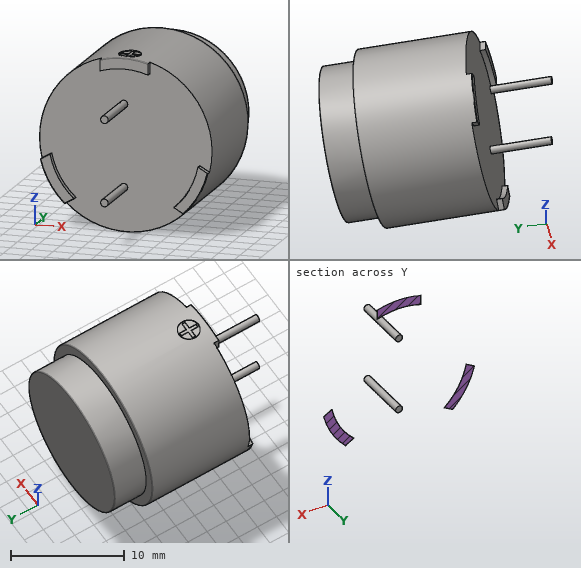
import cadquery as cq
HOUSING_DIAMETER = 16.0
SHOULDER_Y = 10.7
CAP_DIAMETER = 14.0
CAP_LENGTH = 3.3
EDGE_ROUND = 0.05

FOOT_COUNT = 3
FOOT_HEIGHT = 0.5
FOOT_WIDTH = 4.48
FOOT_INNER_DIAMETER = CAP_DIAMETER

PIN_DIAMETER = 0.7
PIN_LENGTH = 5.5
PIN_SPACING = 7.6

MARK_Y = 1.72
MARK_DIAMETER = 2.0
MARK_DEPTH = 0.1
PLUS_SPAN = 1.74
PLUS_BAR_WIDTH = 0.31
PLUS_THICKNESS = 0.1

HOUSING_RADIUS = HOUSING_DIAMETER / 2
MARK_FLOOR_Z = HOUSING_RADIUS - MARK_DEPTH


def cylinder_along_y(diameter, y_start, length):
    """Cylinder around the Y axis from y_start toward +Y."""
    return (
        cq.Workplane("XZ", origin=(0, y_start, 0))
        .transformed(rotate=(0, 0, 90))
        .circle(diameter / 2)
        .extrude(-length)
    )


def make_feet():
    """Straight-sided feet with round inner faces, spread evenly from the +Z side."""
    bore = cylinder_along_y(FOOT_INNER_DIAMETER, 0, FOOT_HEIGHT)
    foot = (
        cq.Workplane("XY")
        .box(FOOT_WIDTH, FOOT_HEIGHT, HOUSING_RADIUS, centered=(True, False, False))
        .cut(bore)
    )
    feet = foot
    for index in range(1, FOOT_COUNT):
        feet = feet.union(foot.rotate((0, 0, 0), (0, 1, 0), index * 360 / FOOT_COUNT))
    return feet


def make_plus():
    """Flat plus whose top is flush with the floor of the round recess."""
    base = cq.Workplane("XY", origin=(0, MARK_Y, MARK_FLOOR_Z - PLUS_THICKNESS))
    bar_along_x = base.rect(PLUS_SPAN, PLUS_BAR_WIDTH).extrude(PLUS_THICKNESS)
    bar_along_y = base.rect(PLUS_BAR_WIDTH, PLUS_SPAN).extrude(PLUS_THICKNESS)
    return bar_along_x.union(bar_along_y)


def make_housing(plus):
    """Stepped housing with feet, rounded end edges and a seat for the plus."""
    barrel = cylinder_along_y(HOUSING_DIAMETER, 0, SHOULDER_Y).edges().fillet(EDGE_ROUND)
    cap = cylinder_along_y(CAP_DIAMETER, SHOULDER_Y, CAP_LENGTH).faces(">Y").edges().fillet(EDGE_ROUND)
    front_recess = cylinder_along_y(HOUSING_DIAMETER, 0, FOOT_HEIGHT).cut(make_feet())
    mark_recess = (
        cq.Workplane("XY", origin=(0, MARK_Y, MARK_FLOOR_Z))
        .circle(MARK_DIAMETER / 2)
        .extrude(MARK_DEPTH)
    )
    return barrel.cut(front_recess).union(cap).cut(mark_recess).cut(plus)


def make_pin(z_center):
    """Straight pin that starts level with the ends of the feet and points toward -Y."""
    return cylinder_along_y(PIN_DIAMETER, -PIN_LENGTH, PIN_LENGTH).translate((0, 0, z_center))


plus = make_plus()
housing = make_housing(plus)
pins = [make_pin(side * PIN_SPACING / 2) for side in (1, -1)]

result = cq.Compound.makeCompound([housing.solids().val(), plus.solids().val(), *[pin.val() for pin in pins]])